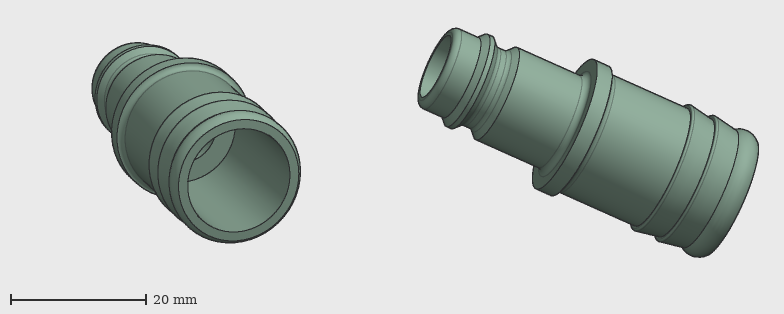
import cadquery as cq
import math

TOTAL_LENGTH = 49.0
COLLAR_START = 4.2
COLLAR_END = 6.0
GROOVE_END = 10.1
FLANGE_START = 21.5
FLANGE_END = 24.0
BARB_STARTS = (37.5, 41.5)
BULB_CREST = 47.15
END_CONE_LENGTH = 0.07
BULB_END = TOTAL_LENGTH - END_CONE_LENGTH
HOSE_BORE_START = FLANGE_END

BORE_RADIUS = 10.0 / 2
HOSE_BORE_RADIUS = 16.0 / 2
NOSE_RADIUS = 13.0 / 2
GROOVE_RADIUS = 12.65 / 2
SHANK_RADIUS = 15.0 / 2
FLANGE_RADIUS = 21.0 / 2
HOSE_RADIUS = 19.1 / 2
BARB_RADIUS = 20.4 / 2
BULB_RADIUS = 20.3 / 2

FILLET_RADIUS = 1.0
BARB_TIP_RADIUS = 0.3
BULB_ROUND_RADIUS = 2.5
CONE_ANGLE = math.radians(45)

BULB_CENTER = (BULB_CREST, BULB_RADIUS - BULB_ROUND_RADIUS)
BULB_START_ANGLE = 180 - math.degrees(math.asin((HOSE_RADIUS - BULB_CENTER[1]) / BULB_ROUND_RADIUS))
BULB_END_ANGLE = math.degrees(math.acos((BULB_END - BULB_CREST) / BULB_ROUND_RADIUS))
BULB_START = BULB_CREST + BULB_ROUND_RADIUS * math.cos(math.radians(BULB_START_ANGLE))


def add_arc(outline, center, radius, start_angle, end_angle):
    """Add a circular arc that starts at the current outline point (angles in degrees)."""
    def point(angle):
        turn = math.radians(angle)
        return (center[0] + radius * math.cos(turn), center[1] + radius * math.sin(turn))

    return outline.threePointArc(point((start_angle + end_angle) / 2), point(end_angle))


def add_nose(outline):
    """Rounded plain nose and the conical rise onto the collar."""
    outline = outline.lineTo(0, NOSE_RADIUS - FILLET_RADIUS)
    outline = add_arc(outline, (FILLET_RADIUS, NOSE_RADIUS - FILLET_RADIUS), FILLET_RADIUS, 180, 90)
    cone_length = (SHANK_RADIUS - NOSE_RADIUS) / math.tan(CONE_ANGLE)
    outline = outline.lineTo(COLLAR_START, NOSE_RADIUS)
    outline = outline.lineTo(COLLAR_START + cone_length, SHANK_RADIUS)
    return outline.lineTo(COLLAR_END, SHANK_RADIUS)


def add_locking_groove(outline):
    """Groove with conical flanks blended into a cylindrical floor."""
    arc_length = FILLET_RADIUS * math.sin(CONE_ANGLE)
    arc_rise = FILLET_RADIUS * (1 - math.cos(CONE_ANGLE))
    flank_radius = GROOVE_RADIUS + arc_rise
    flank_length = (SHANK_RADIUS - flank_radius) / math.tan(CONE_ANGLE)
    floor_start = COLLAR_END + flank_length + arc_length
    floor_end = GROOVE_END - flank_length - arc_length
    arc_center_radius = GROOVE_RADIUS + FILLET_RADIUS
    slope = math.degrees(CONE_ANGLE)

    outline = outline.lineTo(COLLAR_END + flank_length, flank_radius)
    outline = add_arc(outline, (floor_start, arc_center_radius), FILLET_RADIUS, 270 - slope, 270)
    outline = outline.lineTo(floor_end, GROOVE_RADIUS)
    outline = add_arc(outline, (floor_end, arc_center_radius), FILLET_RADIUS, 270, 270 + slope)
    return outline.lineTo(GROOVE_END, SHANK_RADIUS)


def add_flange(outline):
    """Stop flange with a concave fillet on each side."""
    front_center = (FLANGE_START - FILLET_RADIUS, SHANK_RADIUS + FILLET_RADIUS)
    rear_rise = FLANGE_RADIUS - HOSE_RADIUS
    rear_center = (FLANGE_END + rear_rise, FLANGE_RADIUS)

    outline = outline.lineTo(front_center[0], SHANK_RADIUS)
    outline = add_arc(outline, front_center, FILLET_RADIUS, 270, 360)
    outline = outline.lineTo(FLANGE_START, FLANGE_RADIUS)
    outline = outline.lineTo(FLANGE_END, FLANGE_RADIUS)
    return add_arc(outline, rear_center, rear_rise, 180, 270)


def add_barbs(outline):
    """Hose barbs: a steep front step, a rounded tip and a tangent taper towards the rear."""
    barb_ends = BARB_STARTS[1:] + (BULB_START,)
    tip_center_radius = BARB_RADIUS - BARB_TIP_RADIUS
    outline = outline.lineTo(BARB_STARTS[0], HOSE_RADIUS)
    for start, end in zip(BARB_STARTS, barb_ends):
        tip_center = (start + BARB_TIP_RADIUS, tip_center_radius)
        run = end - tip_center[0]
        rise = tip_center_radius - HOSE_RADIUS
        taper = math.atan2(rise, run) + math.asin(BARB_TIP_RADIUS / math.hypot(run, rise))
        outline = outline.lineTo(start, tip_center_radius)
        outline = add_arc(outline, tip_center, BARB_TIP_RADIUS, 180, 90 - math.degrees(taper))
        outline = outline.lineTo(end, HOSE_RADIUS)
    return outline


def add_end_bulb(outline):
    """Rounded bulb and the shallow end cone that meets the hose bore."""
    outline = add_arc(outline, BULB_CENTER, BULB_ROUND_RADIUS, BULB_START_ANGLE, BULB_END_ANGLE)
    return outline.lineTo(TOTAL_LENGTH, HOSE_BORE_RADIUS)


def add_stepped_bore(outline):
    """Wide bore of the hose tail, stepping down to the narrow bore at the rear of the flange."""
    outline = outline.lineTo(HOSE_BORE_START, HOSE_BORE_RADIUS)
    return outline.lineTo(HOSE_BORE_START, BORE_RADIUS)


def make_part():
    outline = cq.Workplane("XY").moveTo(0, BORE_RADIUS)
    sections = (add_nose, add_locking_groove, add_flange, add_barbs, add_end_bulb, add_stepped_bore)
    for add_section in sections:
        outline = add_section(outline)
    return outline.close().revolve(360, (0, 0, 0), (1, 0, 0))


result = make_part()